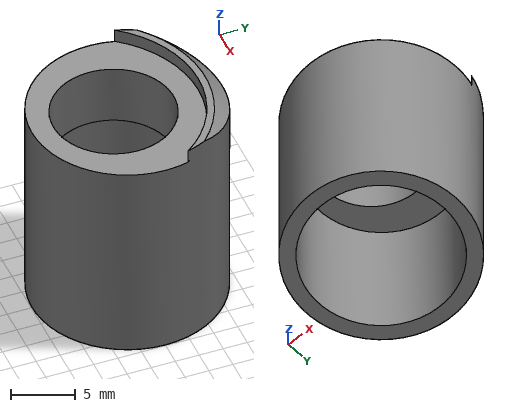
import cadquery as cq

height = 19.05
outer_diameter = 15.87

bore_diameter = 10.0
bore_offset = -1.15
lower_bore_diameter = 13.2
ledge_z = 12.69

recess_depth = 1.15
recess_radius = 9.5
recess_center_y = -3.6
lip_width = 0.6
chamfer_height = 1.9

floor_z = height - recess_depth
lip_radius = recess_radius + lip_width


def cylinder(radius, center_y, bottom_z, top_z):
    """Vertical cylinder centred on x = 0."""
    base = cq.Workplane("XY", origin=(0, center_y, bottom_z))
    return base.circle(radius).extrude(top_z - bottom_z)


def lip_envelope():
    """Round solid about the recess axis whose top edge has a 45 degree chamfer."""
    envelope = cylinder(lip_radius + chamfer_height, recess_center_y, 0, height)
    return envelope.faces(">Z").edges().chamfer(chamfer_height)


body = cylinder(outer_diameter / 2, 0, 0, height)
body = body.intersect(lip_envelope())

recess = cylinder(recess_radius, recess_center_y, floor_z, height)
bore = cylinder(bore_diameter / 2, bore_offset, 0, height)
lower_bore = cylinder(lower_bore_diameter / 2, 0, 0, ledge_z)

result = body.cut(recess).cut(bore).cut(lower_bore)